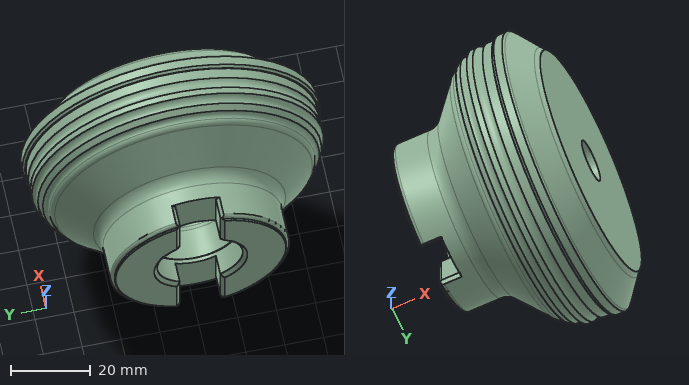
import cadquery as cq
import math

length = 45.0

hub_radius = 46.0 / 2
hub_face_radius = 21.9
hub_step_length = 0.45
hub_round = 0.9
hub_end = 10.3

blend_radius = 4.9
flare_angle = math.radians(49)
blend_end = hub_end + blend_radius * math.sin(flare_angle)
blend_end_radius = hub_radius + blend_radius * (1 - math.cos(flare_angle))

flare_end = 21.3
flare_end_radius = blend_end_radius + (flare_end - blend_end) * math.tan(flare_angle)
first_cove_start = 22.7
first_cove_radius = 34.2
ring_start = 24.05
ring_start_radius = 35.55
ring_end = 25.65
ring_end_radius = 36.45
band_start = 27.95
cove_sag = 0.4
lip_sag = 0.2

band_radius = 75.1 / 2
groove_start = 29.65
groove_end = 32.4
groove_depth = 0.4

rim_radius = 76.6 / 2
rim_start = 35.1
rim_end = 38.7
rim_front_chamfer = 0.8
rim_back_chamfer = 0.5
rim_edge_radius = 37.85
back_cone_end = 43.8
back_cone_radius = 31.4
back_chamfer = length - back_cone_end

bore_radius = 22.0 / 2
bore_chamfer = 1.0
relief_radius = 22.3 / 2
relief_start = 7.4
relief_end = 15.6
bore_end_radius = 22.1 / 2
bore_end_start = 16.55
bore_depth = 18.4
hole_radius = 11.0 / 2
hole_chamfer = 1.1

slot_width = 10.4
slot_depth = 6.2
slot_chamfer = 0.9

cut_margin = 0.8


def sagged_midpoint(start, end, sag):
    """Middle of the arc from start to end; a positive sag bows it to the right of travel."""
    run = end[0] - start[0]
    rise = end[1] - start[1]
    chord = math.hypot(run, rise)
    middle_x = (start[0] + end[0]) / 2 + sag * rise / chord
    middle_r = (start[1] + end[1]) / 2 - sag * run / chord
    return (middle_x, middle_r)


def arc_between(sketch, start, end, sag):
    return sketch.threePointArc(sagged_midpoint(start, end, sag), end)


def make_body():
    """Turn the outer shape, drawn as (axial place, radius), about the X axis."""
    round_inset = hub_round * (1 - math.sqrt(0.5))
    round_middle = (hub_step_length + round_inset, hub_radius - round_inset)
    blend_middle = (
        hub_end + blend_radius * math.sin(flare_angle / 2),
        hub_radius + blend_radius * (1 - math.cos(flare_angle / 2)),
    )
    lip = (flare_end, flare_end_radius)
    first_cove = (first_cove_start, first_cove_radius)
    ring = (ring_start, ring_start_radius)
    ring_back = (ring_end, ring_end_radius)
    band = (band_start, band_radius)
    groove_front = (groove_start, band_radius)
    groove_back = (groove_end, band_radius)

    outline = (
        cq.Workplane("XY")
        .moveTo(0, 0)
        .lineTo(0, hub_face_radius)
        .lineTo(hub_step_length, hub_radius - hub_round)
        .threePointArc(round_middle, (hub_step_length + hub_round, hub_radius))
        .lineTo(hub_end, hub_radius)
        .threePointArc(blend_middle, (blend_end, blend_end_radius))
        .lineTo(*lip)
    )
    outline = arc_between(outline, lip, first_cove, -lip_sag)
    outline = arc_between(outline, first_cove, ring, cove_sag)
    outline = outline.lineTo(*ring_back)
    outline = arc_between(outline, ring_back, band, cove_sag)
    outline = outline.lineTo(*groove_front)
    outline = arc_between(outline, groove_front, groove_back, groove_depth)
    outline = (
        outline.lineTo(rim_start, band_radius)
        .lineTo(rim_start, rim_edge_radius)
        .lineTo(rim_start + rim_front_chamfer, rim_radius)
        .lineTo(rim_end - rim_back_chamfer, rim_radius)
        .lineTo(rim_end, rim_edge_radius)
        .lineTo(back_cone_end, back_cone_radius)
        .lineTo(length, back_cone_radius - back_chamfer)
        .lineTo(length, 0)
        .close()
    )
    return outline.revolve(360, (0, 0, 0), (1, 0, 0))


def make_bore():
    """Chamfered bore with a wider relief tapering back to a flat floor, and a through hole."""
    return (
        cq.Workplane("XY")
        .moveTo(0, 0)
        .lineTo(0, bore_radius + bore_chamfer)
        .lineTo(bore_chamfer, bore_radius)
        .lineTo(relief_start, bore_radius)
        .lineTo(relief_start, relief_radius)
        .lineTo(relief_end, relief_radius)
        .lineTo(bore_end_start, bore_end_radius)
        .lineTo(bore_depth, bore_end_radius)
        .lineTo(bore_depth, hole_radius + hole_chamfer)
        .lineTo(bore_depth + hole_chamfer, hole_radius)
        .lineTo(length, hole_radius)
        .lineTo(length, 0)
        .close()
        .revolve(360, (0, 0, 0), (1, 0, 0))
    )


def make_slot():
    """Slot with chamfers along its face edges and its upright edges at the hub wall."""
    half_width = slot_width / 2
    wide_half = half_width + slot_chamfer
    channel = (
        cq.Workplane("XY")
        .moveTo(0, -wide_half)
        .lineTo(slot_chamfer, -half_width)
        .lineTo(slot_depth, -half_width)
        .lineTo(slot_depth, half_width)
        .lineTo(slot_chamfer, half_width)
        .lineTo(0, wide_half)
        .close()
        .extrude(hub_radius + cut_margin, both=True)
    )
    mouth_outer = math.sqrt(hub_radius**2 - wide_half**2)
    mouth_inner = mouth_outer - slot_chamfer
    mouth_far = hub_radius + cut_margin
    far_half = half_width + mouth_far - mouth_inner
    for side in (1, -1):
        mouth = (
            cq.Workplane("YZ")
            .polyline(
                [
                    (-half_width, side * mouth_inner),
                    (half_width, side * mouth_inner),
                    (far_half, side * mouth_far),
                    (-far_half, side * mouth_far),
                ]
            )
            .close()
            .extrude(slot_depth)
        )
        channel = channel.union(mouth)
    return channel


result = make_body().cut(make_bore()).cut(make_slot())